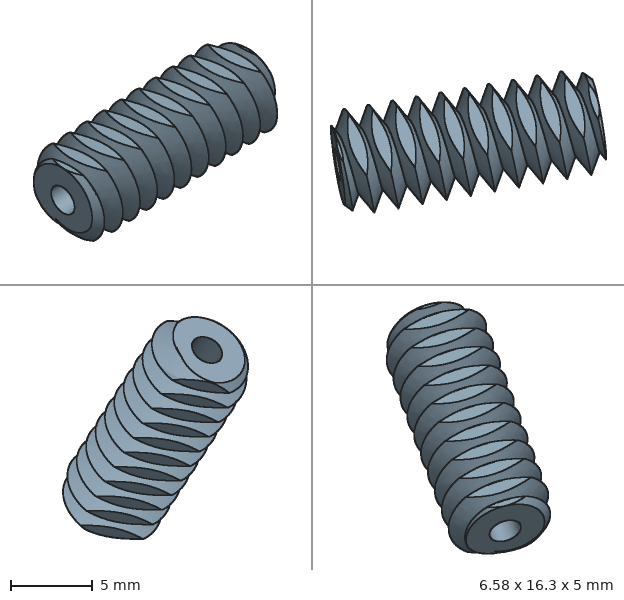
import cadquery as cq
import math

length = 16.25
crest_diameter = 6.58
flat_width = 5.0
bore_diameter = 2.0

first_crest = 0.37
last_crest = 15.37
turns_between = 10
flank_angle = 30.0
extra_turns = 2

core_allowance = 0.02
ridge_embedding = 0.008

envelope_clearance = 0.32

pitch = (last_crest - first_crest) / turns_between
flank_slope = math.tan(math.radians(flank_angle))
crest_radius = crest_diameter / 2
sharp_root_radius = crest_radius - pitch / 2 / flank_slope
core_radius = sharp_root_radius + core_allowance
ridge_base_radius = core_radius - ridge_embedding

envelope_radius = crest_radius + envelope_clearance
end_face_radius = flat_width / 2
end_chamfer = envelope_radius - end_face_radius

thread_start = first_crest - extra_turns * pitch
thread_turns = turns_between + 2 * extra_turns
thread_length = thread_turns * pitch


def thread_ridge():
    """Triangular ridge swept along a helix around Z."""
    half_base = (crest_radius - ridge_base_radius) * flank_slope
    path = cq.Wire.makeHelix(
        pitch, thread_length, ridge_base_radius, center=cq.Vector(0, 0, thread_start)
    )
    profile = cq.Workplane("XZ").polyline(
        [
            (crest_radius, thread_start),
            (ridge_base_radius, thread_start - half_base),
            (ridge_base_radius, thread_start + half_base),
        ]
    ).close()
    return profile.sweep(cq.Workplane(path), isFrenet=True)


def thread_core():
    """Plain cylinder that carries the ridge."""
    core = (
        cq.Workplane("XY")
        .workplane(offset=thread_start - pitch)
        .circle(core_radius)
        .extrude(thread_length + 2 * pitch)
    )
    return core.rotate((0, 0, 0), (0, 0, 1), 90)


def envelope():
    """Outer limits of the screw: chamfered ends, two flats and the through bore."""
    rod = cq.Workplane("XY").circle(envelope_radius).extrude(length)
    rod = rod.faces("<Z or >Z").chamfer(end_chamfer)
    rod = rod.faces(">Z").workplane().hole(bore_diameter)
    slab = cq.Workplane("XY").box(
        2 * envelope_radius, flat_width, length, centered=(True, True, False)
    )
    return rod.intersect(slab)


thread = thread_core().union(thread_ridge())
screw = envelope().intersect(thread)

result = screw.rotate((0, 0, 0), (1, 0, 0), -90)